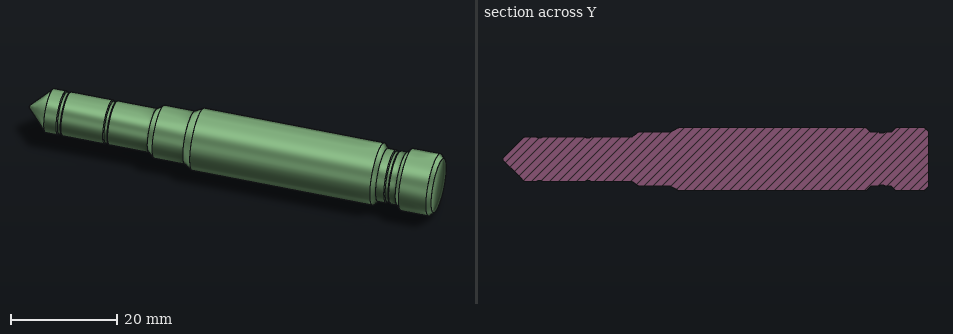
import cadquery as cq

length = 80.0
body_radius = 6.0
neck_radius = 5.1
nose_radius = 4.25

tip_radius = 0.25
tip_length = nose_radius - tip_radius

shoulder_cone_start = 24.25
shoulder_start = 25.45
body_cone_start = 31.45
body_start = 33.05

body_end = 68.25
head_start = 73.85
edge_chamfer = 0.8
neck_taper = body_radius - neck_radius

groove_width = 1.0
groove_depth = 0.2
nose_groove_centers = (6.9, 16.0)
neck_groove_center = 71.2


def pin_body():
    """Solid of revolution about X, without the ring grooves."""
    profile = [
        (0, 0),
        (0, tip_radius),
        (tip_length, nose_radius),
        (shoulder_cone_start, nose_radius),
        (shoulder_start, neck_radius),
        (body_cone_start, neck_radius),
        (body_start, body_radius),
        (body_end, body_radius),
        (body_end + neck_taper, neck_radius),
        (head_start - neck_taper, neck_radius),
        (head_start, body_radius),
        (length - edge_chamfer, body_radius),
        (length, body_radius - edge_chamfer),
        (length, 0),
    ]
    return cq.Workplane("XY").polyline(profile).close().revolve(360, (0, 0), (1, 0))


def ring_groove(center, surface_radius):
    """Cutter for a groove with 45 degree walls and a flat floor."""
    half_width = groove_width / 2
    half_floor = half_width - groove_depth
    floor_radius = surface_radius - groove_depth
    clear_radius = surface_radius + groove_depth
    profile = [
        (center - half_width, clear_radius),
        (center - half_width, surface_radius),
        (center - half_floor, floor_radius),
        (center + half_floor, floor_radius),
        (center + half_width, surface_radius),
        (center + half_width, clear_radius),
    ]
    return cq.Workplane("XY").polyline(profile).close().revolve(360, (0, 0), (1, 0))


result = pin_body()
for groove_center in nose_groove_centers:
    result = result.cut(ring_groove(groove_center, nose_radius))
result = result.cut(ring_groove(neck_groove_center, neck_radius))

result = result.translate((-length / 2, 0, 0))